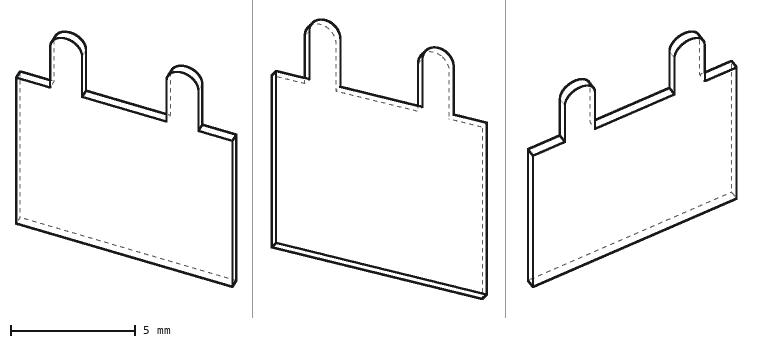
import cadquery as cq

width = 9.45
thickness = 0.41
total_height = 10.79

plate_height = 7.9
tab_width = 1.4
tab_spacing = 5.08
tab_radius = tab_width / 2
tab_arc_centre_z = total_height - tab_radius


def make_plate():
    """Flat rectangular plate standing on Z = 0, centred in X and Y."""
    return cq.Workplane("XY").box(width, thickness, plate_height, centered=(True, True, False))


def make_tab(centre_x):
    """Upright tab with a fully rounded top, rising from the plate's top edge."""
    left = centre_x - tab_radius
    right = centre_x + tab_radius
    return (
        cq.Workplane("XZ")
        .moveTo(left, plate_height)
        .lineTo(right, plate_height)
        .lineTo(right, tab_arc_centre_z)
        .threePointArc((centre_x, total_height), (left, tab_arc_centre_z))
        .close()
        .extrude(thickness / 2, both=True)
    )


result = make_plate()
for side in (-1, 1):
    result = result.union(make_tab(side * tab_spacing / 2))